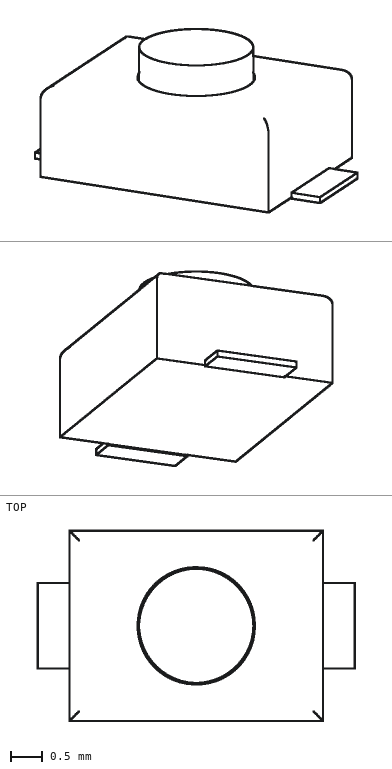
import cadquery as cq

housing_length = 4.0
housing_width = 3.0
housing_height = 1.5
top_edge_radius = 0.2
standoff = 0.02
housing_top = standoff + housing_height

button_diameter = 1.8
bore_diameter = 1.85
button_rise = 0.5
bore_depth = 1.0
bore_floor = housing_top - bore_depth

overall_length = 5.0
lead_length = (overall_length - housing_length) / 2
lead_width = 1.35
lead_thickness = 0.1


def make_housing():
    """Box with rounded top edges and a blind bore for the button."""
    block = (
        cq.Workplane("XY", origin=(0, 0, standoff))
        .rect(housing_length, housing_width)
        .extrude(housing_height)
        .faces(">Z")
        .edges()
        .fillet(top_edge_radius)
    )
    bore = (
        cq.Workplane("XY", origin=(0, 0, bore_floor))
        .circle(bore_diameter / 2)
        .extrude(bore_depth)
    )
    return block.cut(bore)


def make_button():
    """Round plunger standing on the bore floor."""
    return (
        cq.Workplane("XY", origin=(0, 0, bore_floor))
        .circle(button_diameter / 2)
        .extrude(bore_depth + button_rise)
    )


def make_lead(side):
    """Flat lead against one end of the housing; side is -1 or +1 along X."""
    center_x = side * (housing_length + lead_length) / 2
    return (
        cq.Workplane("XY")
        .center(center_x, 0)
        .rect(lead_length, lead_width)
        .extrude(lead_thickness)
    )


housing = make_housing()
button = make_button()
leads = [make_lead(side) for side in (-1, 1)]

result = cq.Compound.makeCompound(
    [housing.val(), button.val(), *[lead.val() for lead in leads]]
)